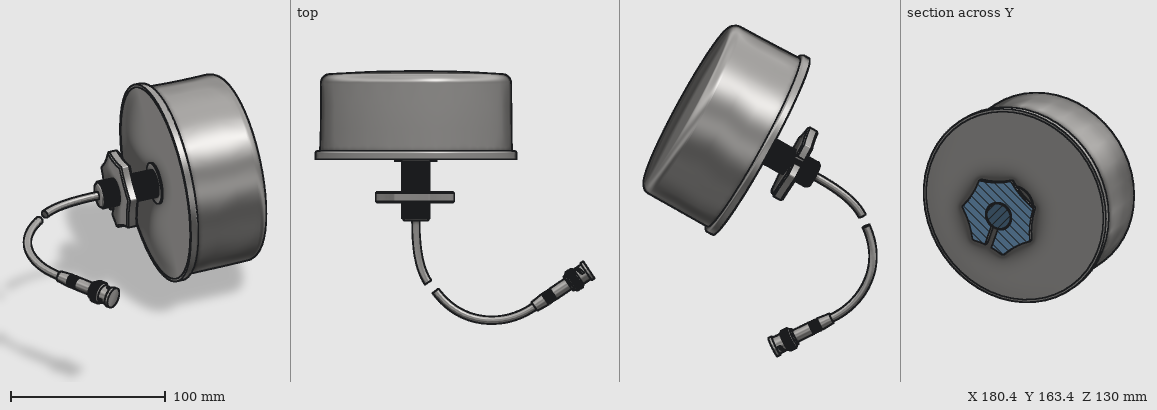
import cadquery as cq
import math


rim_radius = 65.0
rim_height = 5.5
rim_edge_radius = 1.8
wall_bottom_radius = 62.0
wall_top_radius = 61.5
shoulder_y = 49.0
shoulder_radius = 6.1
crown_y = 57.2

plate_radius = 63.1
plate_thickness = 4.0

washer_radius = 13.5
washer_thickness = 1.0
stud_radius = 9.0
stud_length = 39.7
stud_tip_rounding = 1.5
thread_pitch = 0.63
thread_depth = 0.7

nut_corners = 7
nut_corner_radius = 26.5
nut_corner_angle = 70.6
nut_side_hollow = 1.3
nut_corner_rounding = 1.5
nut_chamfer = 1.0
nut_top_y = -20.7
nut_thickness = 7.2
nut_slot_width = 4.5

cable_radius = 2.5
upper_end_x = 8.0
upper_end_y = -79.3
upper_end_angle = -56.0
lower_bottom_x = 49.2
lower_bottom_y = -103.7
lower_start_x = 12.6
lower_start_y = -84.8
lower_start_angle = -53.0
lower_end_x = 76.5
lower_end_y = -94.8

plug_angle = 34.0
sleeve_rear_radius = 3.5
sleeve_radius = 4.1
sleeve_taper_end = 8.3
sleeve_length = 26.3
sleeve_groove_count = 5
sleeve_groove_pitch = 1.3
sleeve_groove_depth = 0.4

coupling_rear_radius = 5.5
coupling_rear_length = 1.3
grip_radius = 7.2
grip_end = 34.3
grip_edge = 1.3
grip_groove_count = 10
grip_groove_depth = 0.4
neck_radius = 5.8
flange_radius = 6.7
flange_start = 40.0
plug_length = 42.4
bayonet_slot_y = 36.8
bayonet_slot_length = 10.1
bayonet_slot_width = 1.6
bayonet_slot_tilt = 17.0
bayonet_floor_distance = 4.1


def turned(outline):
    """Solid of revolution of a closed (radius, y) outline about the Y axis."""
    return cq.Workplane("XY").polyline(outline).close().revolve(360, (0, 0), (0, 1))


def grooves(radius, start, pitch, count, depth):
    """Outline points of V grooves, following one another upward from y = start."""
    points = []
    for i in range(count):
        bottom = start + i * pitch
        points += [(radius, bottom), (radius - depth, bottom + pitch / 2)]
    return points + [(radius, start + count * pitch)]


def make_radome():
    shoulder_inset = shoulder_radius * (1 - math.sqrt(0.5))
    shoulder_top_y = shoulder_y + shoulder_radius
    crown_edge = wall_top_radius - shoulder_radius
    crown_rise = crown_y - shoulder_top_y
    crown_radius = (crown_edge**2 + crown_rise**2) / (2 * crown_rise)
    return (
        cq.Workplane("XY")
        .moveTo(0, plate_thickness)
        .lineTo(plate_radius, plate_thickness)
        .lineTo(plate_radius, 0)
        .lineTo(rim_radius, 0)
        .lineTo(rim_radius, rim_height - rim_edge_radius)
        .radiusArc((rim_radius - rim_edge_radius, rim_height), -rim_edge_radius)
        .lineTo(wall_bottom_radius, rim_height)
        .lineTo(wall_top_radius, shoulder_y)
        .threePointArc(
            (wall_top_radius - shoulder_inset, shoulder_top_y - shoulder_inset),
            (crown_edge, shoulder_top_y),
        )
        .radiusArc((0, crown_y), -crown_radius)
        .close()
        .revolve(360, (0, 0), (0, 1))
    )


def make_base_plate():
    return turned([(0, 0), (plate_radius, 0), (plate_radius, plate_thickness), (0, plate_thickness)])


def make_stud():
    core_radius = stud_radius - thread_depth
    thread_bottom = stud_tip_rounding - stud_length + thread_pitch / 2
    groove_count = math.floor((-washer_thickness - thread_bottom) / thread_pitch)
    thread = grooves(stud_radius, thread_bottom, thread_pitch, groove_count, thread_depth)
    return (
        cq.Workplane("XY")
        .moveTo(0, -stud_length)
        .lineTo(core_radius - stud_tip_rounding, -stud_length)
        .radiusArc((core_radius, stud_tip_rounding - stud_length), -stud_tip_rounding)
        .polyline(thread, includeCurrent=True)
        .lineTo(stud_radius, -washer_thickness)
        .lineTo(washer_radius, -washer_thickness)
        .lineTo(washer_radius, 0)
        .lineTo(0, 0)
        .close()
        .revolve(360, (0, 0), (0, 1))
    )


def make_nut():
    step = 2 * math.pi / nut_corners
    first = math.radians(nut_corner_angle)
    hollow_radius = nut_corner_radius * math.cos(step / 2) - nut_side_hollow

    def at(radius, angle):
        return (radius * math.cos(angle), radius * math.sin(angle))

    outline = cq.Workplane("XZ", origin=(0, nut_top_y, 0)).moveTo(*at(nut_corner_radius, first))
    for i in range(nut_corners):
        angle = first + i * step
        outline = outline.threePointArc(
            at(hollow_radius, angle + step / 2), at(nut_corner_radius, angle + step)
        )
    nut = outline.close().extrude(nut_thickness)
    nut = nut.edges("|Y").fillet(nut_corner_rounding)
    nut = nut.faces("<Y or >Y").chamfer(nut_chamfer)
    bore = cq.Workplane("XZ", origin=(0, nut_top_y, 0)).circle(stud_radius).extrude(nut_thickness)
    slot = (
        cq.Workplane("XZ", origin=(0, nut_top_y, 0))
        .transformed(rotate=(0, 0, nut_corner_angle + 180))
        .center(nut_corner_radius / 2, 0)
        .rect(nut_corner_radius, nut_slot_width)
        .extrude(nut_thickness)
    )
    return nut.cut(bore).cut(slot)


def make_cable(points, start_angle, end_angle):
    """Round cable along a smooth curve through the points, leaving and arriving at the angles."""
    directions = []
    for degrees in (start_angle, end_angle):
        angle = math.radians(degrees)
        directions.append((math.cos(angle), math.sin(angle)))
    path = cq.Workplane("XY").spline(points, tangents=directions)
    section = cq.Plane(origin=(*points[0], 0), xDir=(0, 0, 1), normal=(*directions[0], 0))
    return cq.Workplane(section).circle(cable_radius).sweep(path)


def make_upper_cable():
    return make_cable([(0, -stud_length), (upper_end_x, upper_end_y)], -90, upper_end_angle)


def make_lower_cable():
    points = [
        (lower_start_x, lower_start_y),
        (lower_bottom_x, lower_bottom_y),
        (lower_end_x, lower_end_y),
    ]
    return make_cable(points, lower_start_angle, plug_angle)


def on_plug_axis(body):
    """Move a body built along +Y from the origin onto the axis of the plug."""
    return body.rotate((0, 0, 0), (0, 0, 1), plug_angle - 90).translate((lower_end_x, lower_end_y, 0))


def make_sleeve():
    outline = [(0, 0), (sleeve_rear_radius, 0)]
    outline += grooves(
        sleeve_radius, sleeve_taper_end, sleeve_groove_pitch, sleeve_groove_count, sleeve_groove_depth
    )
    outline += [(sleeve_radius, sleeve_length), (0, sleeve_length)]
    return on_plug_axis(turned(outline))


def bayonet_slot(side):
    """Slanted slot cut flat across the neck, halfway between the X and Z directions."""
    plane = cq.Plane(origin=(0, bayonet_slot_y, 0), xDir=(side, 0, side), normal=(-side, 0, side))
    return (
        cq.Workplane(plane)
        .workplane(offset=bayonet_floor_distance)
        .slot2D(bayonet_slot_length, bayonet_slot_width, bayonet_slot_tilt)
        .extrude(neck_radius)
    )


def make_coupling():
    grip_start = sleeve_length + coupling_rear_length
    groove_start = grip_start + grip_edge
    groove_pitch = (grip_end - grip_edge - groove_start) / grip_groove_count
    outline = [(0, sleeve_length), (coupling_rear_radius, sleeve_length), (coupling_rear_radius, grip_start)]
    outline += [(grip_radius - grip_edge, grip_start)]
    outline += grooves(grip_radius, groove_start, groove_pitch, grip_groove_count, grip_groove_depth)
    outline += [
        (grip_radius - grip_edge, grip_end),
        (neck_radius, grip_end),
        (neck_radius, flange_start),
        (flange_radius, flange_start),
        (flange_radius, plug_length),
        (0, plug_length),
    ]
    coupling = turned(outline)
    for side in (1, -1):
        coupling = coupling.cut(bayonet_slot(side))
    return on_plug_axis(coupling)


radome = make_radome()
base_plate = make_base_plate()
stud = make_stud()
nut = make_nut()
upper_cable = make_upper_cable()
lower_cable = make_lower_cable()
sleeve = make_sleeve()
coupling = make_coupling()

bodies = [radome, base_plate, stud, nut, upper_cable, lower_cable, sleeve, coupling]
result = cq.Compound.makeCompound([body.val() for body in bodies])